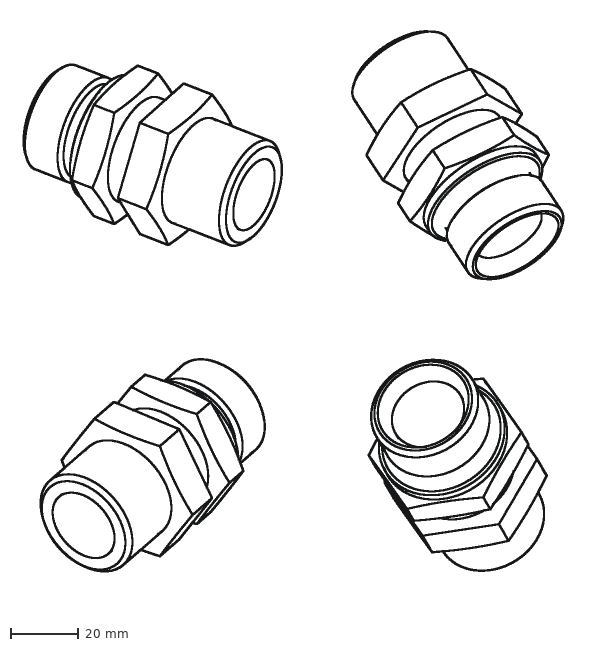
import cadquery as cq
import math

total_length = 72.0
thread_radius = 33.25 / 2
end_chamfer = 1.5

bore_radius = 22.4 / 2
mouth_radius = 28.2 / 2
cone_half_angle = 30.0
cone_depth = (mouth_radius - bore_radius) / math.tan(math.radians(cone_half_angle))

stud_length = 13.1
undercut_start = 14.1
undercut_radius = 29.8 / 2
undercut_fillet = 1.4

collar_start = 19.0
collar_radius = 39.0 / 2
collar_face_radius = 36.8 / 2
collar_bevel_length = 0.4

hex_sides = 6
across_flats = 41.0
across_corners = across_flats / math.cos(math.pi / hex_sides)
hex_chamfer_radius = 40.8 / 2
hex_chamfer_angle = 15.0

body_hex_start = 22.0
body_hex_length = 9.0
locknut_start = 39.2
locknut_length = 11.0


def hexagon(start, length):
    """Hexagonal prism along X with flats facing +Z and -Z."""
    return cq.Workplane("YZ").workplane(offset=start).polygon(hex_sides, across_corners).extrude(length)


def cylinder(start, length, radius):
    """Solid cylinder along X."""
    return cq.Workplane("YZ").workplane(offset=start).circle(radius).extrude(length)


def corner_cone(face, direction):
    """Cone that trims hexagon corners; its small end is at X = face and it widens along direction."""
    reach = across_flats
    wide_radius = hex_chamfer_radius + reach / math.tan(math.radians(hex_chamfer_angle))
    return (
        cq.Workplane("XY")
        .moveTo(face, 0)
        .lineTo(face, hex_chamfer_radius)
        .lineTo(face + direction * reach, wide_radius)
        .lineTo(face + direction * reach, 0)
        .close()
        .revolve(360, (0, 0, 0), (1, 0, 0))
    )


def make_body():
    """Tubular fitting body with a stud thread, collar, hexagon and bulkhead thread."""
    turned = (
        cq.Workplane("XY")
        .moveTo(cone_depth, bore_radius)
        .lineTo(0, mouth_radius)
        .lineTo(0, thread_radius - end_chamfer)
        .lineTo(end_chamfer, thread_radius)
        .lineTo(stud_length, thread_radius)
        .lineTo(undercut_start, undercut_radius)
        .lineTo(collar_start - undercut_fillet, undercut_radius)
        .radiusArc((collar_start, undercut_radius + undercut_fillet), -undercut_fillet)
        .lineTo(collar_start, collar_face_radius)
        .lineTo(collar_start + collar_bevel_length, collar_radius)
        .lineTo(body_hex_start, collar_radius)
        .lineTo(body_hex_start, thread_radius)
        .lineTo(total_length - end_chamfer, thread_radius)
        .lineTo(total_length, thread_radius - end_chamfer)
        .lineTo(total_length, bore_radius)
        .close()
        .revolve(360, (0, 0, 0), (1, 0, 0))
    )
    body_hex_end = body_hex_start + body_hex_length
    flange = (
        hexagon(body_hex_start, body_hex_length)
        .intersect(corner_cone(body_hex_start, 1))
        .intersect(corner_cone(body_hex_end, -1))
    )
    flange_bore = cylinder(body_hex_start, body_hex_length, bore_radius)
    return turned.union(flange.cut(flange_bore))


def make_locknut():
    """Hexagonal locknut on the bulkhead thread, corners chamfered on its +X face only."""
    thread_hole = cylinder(locknut_start, locknut_length, thread_radius)
    return (
        hexagon(locknut_start, locknut_length)
        .intersect(corner_cone(locknut_start + locknut_length, -1))
        .cut(thread_hole)
    )


body = make_body()
locknut = make_locknut()

result = cq.Compound.makeCompound([body.val(), locknut.val()])